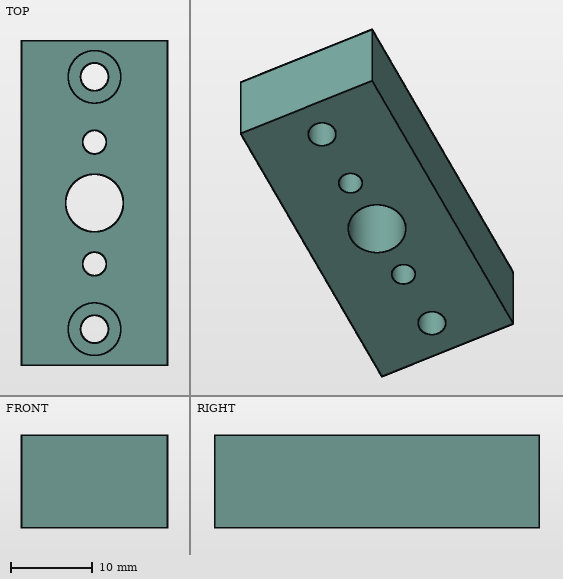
import cadquery as cq

width = 18.0
length = 40.0
height = 11.4

bore_diameter = 7.1
pin_diameter = 2.9
pin_spacing = 15.0
screw_diameter = 3.4
screw_spacing = 31.1
counterbore_diameter = 6.5
counterbore_depth = 3.0


def symmetric_pair(spacing):
    """Two points on the Y axis, equally far from the block centre."""
    return [(0, -spacing / 2), (0, spacing / 2)]


block = cq.Workplane("XY").box(width, length, height, centered=(True, True, False))

result = block.faces(">Z").workplane(origin=(0, 0, height)).hole(bore_diameter)

result = (
    result.faces(">Z").workplane(origin=(0, 0, height))
    .pushPoints(symmetric_pair(pin_spacing))
    .hole(pin_diameter)
)

result = (
    result.faces(">Z").workplane(origin=(0, 0, height))
    .pushPoints(symmetric_pair(screw_spacing))
    .cboreHole(screw_diameter, counterbore_diameter, counterbore_depth)
)